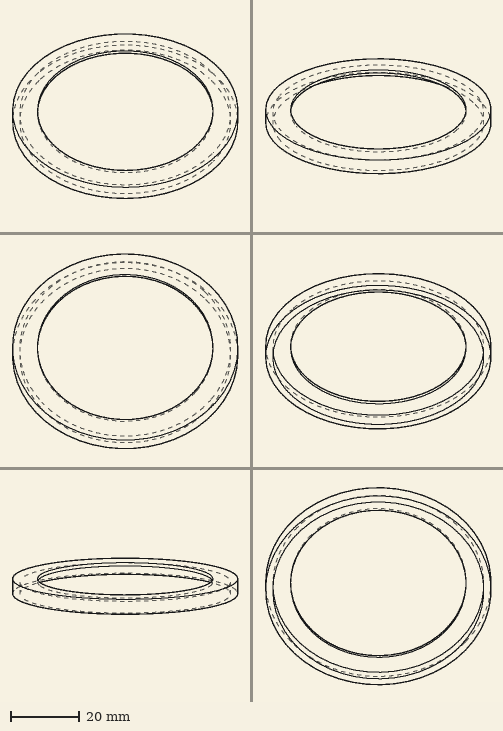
import cadquery as cq

outer_diameter = 65.8
opening_diameter = 51.2
recess_diameter = 61.6
height = 4.5
lip_thickness = 1.0

recess_depth = height - lip_thickness

ring = cq.Workplane("XY").circle(outer_diameter / 2).circle(opening_diameter / 2).extrude(height)

recess = cq.Workplane("XY").circle(recess_diameter / 2).extrude(recess_depth)

result = ring.cut(recess)